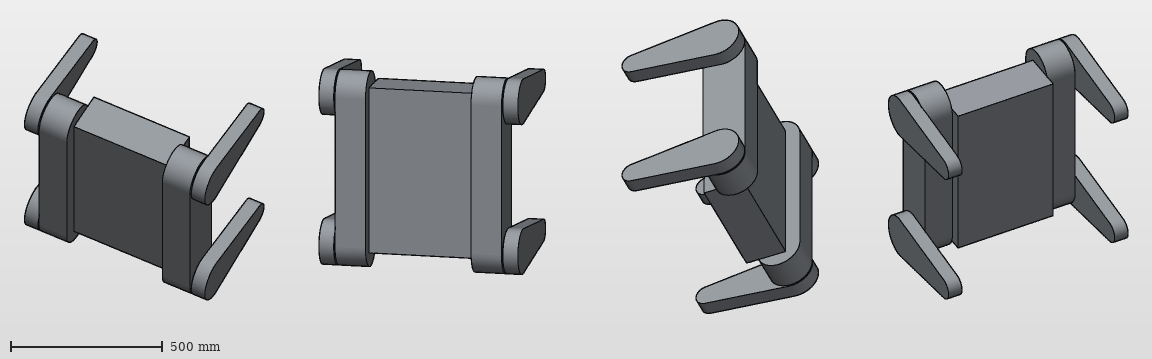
import cadquery as cq
import math

width = 673.0
depth = 419.0
height = 660.0

end_radius = 76.0
arm_tip_radius = 38.5
arm_thickness = 50.5
pin_length = 5.0
pin_diameter = 127.0
rail_thickness = 103.0

block_depth = 141.0
block_height = 560.0
block_setback = 50.5

pivot_z = height / 2 - end_radius
arm_reach = depth - end_radius - arm_tip_radius
arm_inner_x = width / 2 - arm_thickness
rail_outer_x = arm_inner_x - pin_length
rail_inner_x = rail_outer_x - rail_thickness


def make_block():
    front_y = block_setback - end_radius
    return cq.Workplane("XY").box(2 * rail_inner_x, block_depth, block_height).translate(
        (0, front_y + block_depth / 2, 0)
    )


def make_rail():
    """Upright rail with full-round ends, on the +X side."""
    return (
        cq.Workplane("YZ", origin=(rail_inner_x, 0, 0))
        .slot2D(2 * (pivot_z + end_radius), 2 * end_radius, 90)
        .extrude(rail_thickness)
    )


def make_pin(z):
    """Short disc that spaces an arm from its rail."""
    return (
        cq.Workplane("YZ", origin=(rail_outer_x, 0, z))
        .circle(pin_diameter / 2)
        .extrude(pin_length)
    )


def make_arm(z):
    """Tapered arm: two round ends joined by their common tangents."""
    tangent_sin = (end_radius - arm_tip_radius) / arm_reach
    tangent_cos = math.sqrt(1 - tangent_sin**2)
    base_y = end_radius * tangent_sin
    base_z = end_radius * tangent_cos
    tip_y = arm_reach + arm_tip_radius * tangent_sin
    tip_z = arm_tip_radius * tangent_cos
    return (
        cq.Workplane("YZ", origin=(arm_inner_x, 0, z))
        .moveTo(base_y, base_z)
        .lineTo(tip_y, tip_z)
        .threePointArc((arm_reach + arm_tip_radius, 0), (tip_y, -tip_z))
        .lineTo(base_y, -base_z)
        .threePointArc((-end_radius, 0), (base_y, base_z))
        .close()
        .extrude(arm_thickness)
    )


side = make_rail()
for z in (-pivot_z, pivot_z):
    side = side.union(make_pin(z)).union(make_arm(z))

result = make_block().union(side).union(side.mirror("YZ"))